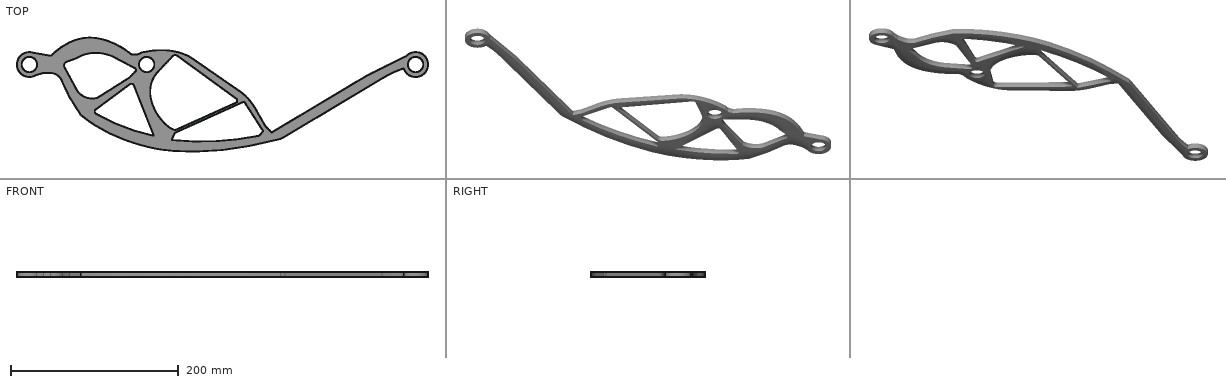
import cadquery as cq
import math

thickness = 6.3
eye_span = 459.94
middle_eye_x = 139.7
eye_diameter = 18.0
boss_radius = 15.0

bar_width = 12.5
bar_angle = math.radians(30.85)
bar_root = (288.5, -80.8)
bar_upper_length = 132.0
bar_lower_start = 11.0
bar_lower_length = 134.0

tip_upper = (448.0, 9.9)
tip_lower = (445.0, -5.0)
tip_bend = (428.5, -11.9)

strut_width = 3.0
strut_angle = math.radians(24.3)
strut_start = (173.0, -78.3)
bay_strut_edge = 81.5
crescent_strut_overrun = 1.0
crescent_strut_edge = 89.4


def beside(point, angle, along, across=0.0):
    """Point reached from `point` by going along a direction, then to the left of it."""
    x = point[0] + along * math.cos(angle) - across * math.sin(angle)
    y = point[1] + along * math.sin(angle) + across * math.cos(angle)
    return (x, y)


def plate(outline):
    return outline.close().extrude(thickness)


def rounded(solid, corner, radius):
    """Round the upright edge of a plate that stands nearest to a corner point."""
    return solid.edges(cq.selectors.NearestToPointSelector((*corner, thickness / 2))).fillet(radius)


def body():
    """Outer outline, without the round ends of the two outer eyes."""
    bar_upper_end = beside(bar_root, bar_angle, bar_upper_length)
    bar_lower_root = beside(bar_root, bar_angle, bar_lower_start, -bar_width)
    bar_lower_end = beside(bar_root, bar_angle, bar_lower_start + bar_lower_length, -bar_width)
    outline = (
        cq.Workplane("XY")
        .moveTo(0, boss_radius)
        .lineTo(25.5, 10.5)
        .spline(
            [(38.2, 20.9), (55, 29.4), (73, 32.21), (92, 28.7), (109, 21), (121.5, 12.2)],
            includeCurrent=True,
        )
        .lineTo(128.5, 12)
        .lineTo(134, 14.6)
        .spline([(158, 17.3), (176, 15.1), (192, 8.7)], includeCurrent=True)
        .lineTo(246, -28.6)
        .threePointArc((259.4, -39.3), (269.1, -52.2))
        .lineTo(281, -73)
        .lineTo(*bar_root)
        .lineTo(*bar_upper_end)
        .lineTo(*tip_upper)
        .lineTo(eye_span, 0)
        .lineTo(*tip_lower)
        .threePointArc(tip_bend, bar_lower_end)
        .lineTo(*bar_lower_root)
        .lineTo(299, -88.8)
        .spline(
            [(260, -97.4), (228, -102.1), (190, -103.7), (158, -101.6), (123, -93.1), (96, -82.4), (61, -60)],
            includeCurrent=True,
        )
        .lineTo(47.7, -39)
        .lineTo(39.2, -21.3)
        .threePointArc((33.2, -12.8), (25, -10.2))
        .lineTo(16.5, -10.2)
        .lineTo(0, -boss_radius)
    )
    return plate(outline)


def arch_window():
    left_corner = (39.5, 1.3)
    right_corner = (128.5, -6)
    left_radius = 4.5
    right_radius = 2.5
    outline = (
        cq.Workplane("XY")
        .moveTo(*left_corner)
        .lineTo(56, 7.4)
        .spline([(70, 12.9), (88, 12.9), (105, 6.4)], includeCurrent=True)
        .lineTo(*right_corner)
        .lineTo(119, -15.5)
        .lineTo(81, -39.5)
        .threePointArc((70, -39.8), (57.5, -32))
    )
    window = plate(outline)
    window = rounded(window, left_corner, left_radius)
    return rounded(window, right_corner, right_radius)


def triangle_window():
    left_corner = (75.5, -56.3)
    top_corner = (122.8, -21.2)
    corner_radius = 3.0
    outline = (
        cq.Workplane("XY")
        .moveTo(*left_corner)
        .lineTo(*top_corner)
        .lineTo(148, -84.8)
        .threePointArc((110, -73.3), left_corner)
    )
    window = plate(outline)
    window = rounded(window, left_corner, corner_radius)
    return rounded(window, top_corner, corner_radius)


def bay_window():
    top_corner = (173.2, 12.5)
    top_radius = 4.0
    strut_radius = 5.0
    strut_upper_end = beside(strut_start, strut_angle, bay_strut_edge)
    outline = (
        cq.Workplane("XY")
        .moveTo(*strut_start)
        .lineTo(*strut_upper_end)
        .lineTo(247.2, -41.4)
        .lineTo(*top_corner)
        .lineTo(154, -7.7)
        .spline([(144, -31), (149, -53), (167, -75)], includeCurrent=True)
    )
    window = plate(outline)
    window = rounded(window, top_corner, top_radius)
    return rounded(window, strut_start, strut_radius)


def crescent_window():
    left = beside(strut_start, strut_angle, -crescent_strut_overrun, -strut_width)
    right = beside(strut_start, strut_angle, crescent_strut_edge, -strut_width)
    outline = (
        cq.Workplane("XY")
        .moveTo(*left)
        .lineTo(*right)
        .lineTo(278.3, -79.4)
        .lineTo(273.5, -84.7)
        .threePointArc((225, -91), (169.5, -89.8))
    )
    return plate(outline)


def eye_cylinder(x, radius):
    return cq.Workplane("XY").center(x, 0).circle(radius).extrude(thickness)


result = body()
for x in (0, eye_span):
    result = result.union(eye_cylinder(x, boss_radius))
for window in (arch_window(), triangle_window(), bay_window(), crescent_window()):
    result = result.cut(window)
for x in (0, middle_eye_x, eye_span):
    result = result.cut(eye_cylinder(x, eye_diameter / 2))